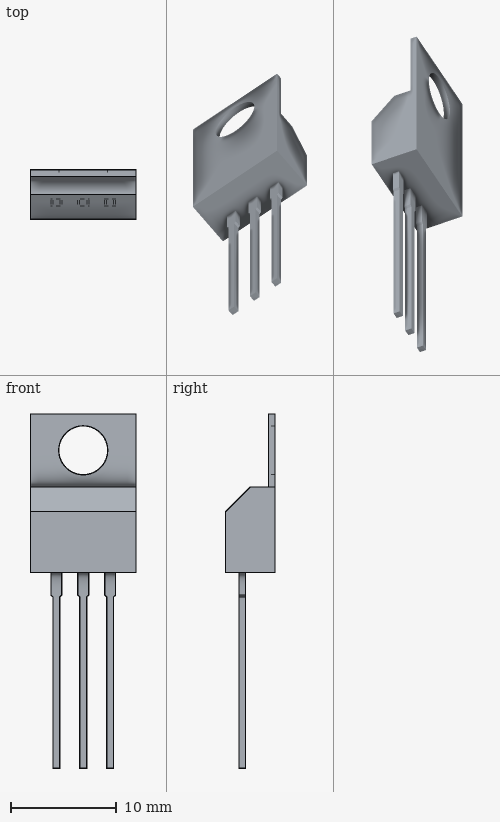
import cadquery as cq


width = 10.0
housing_depth = 4.7
housing_height = 8.1
bevel = housing_depth / 2

tab_thickness = 0.64
tab_height = 6.9
hole_diameter = 4.6
hole_center_below_top = 3.45

overall_height = 33.5
lead_length = overall_height - housing_height - tab_height
lead_pitch = 2.54
lead_width = 0.68
lead_thickness = 0.64
lead_axis_behind_front = 1.6
shoulder_width = 1.04
shoulder_length = 2.12
shoulder_taper = (shoulder_width - lead_width) / 2


def make_housing():
    """Block with its upper front edge bevelled."""
    block = cq.Workplane("XY").box(width, housing_depth, housing_height, centered=(True, False, False))
    block = block.translate((0, -housing_depth, 0))
    return block.faces("<Y").edges(">Z").chamfer(bevel)


def make_tab():
    """Flat plate standing on the back of the housing, with a mounting hole through it."""
    hole_height = housing_height + tab_height - hole_center_below_top
    plate = cq.Workplane("XY").box(width, tab_thickness, tab_height, centered=(True, False, False))
    plate = plate.translate((0, -tab_thickness, housing_height))
    hole = (
        cq.Workplane("XZ")
        .center(0, hole_height)
        .circle(hole_diameter / 2)
        .extrude(tab_thickness)
    )
    return plate.cut(hole)


def make_lead(x):
    """Flat lead hanging under the housing, with a wide shoulder that tapers to the narrow leg."""
    half_shoulder = shoulder_width / 2
    half_leg = lead_width / 2
    taper_end = shoulder_length + shoulder_taper
    half_thickness = lead_thickness / 2
    outline = (
        cq.Workplane("XZ")
        .moveTo(-half_shoulder, 0)
        .lineTo(-half_shoulder, -shoulder_length)
        .lineTo(-half_leg, -taper_end)
        .lineTo(-half_leg, -lead_length)
        .lineTo(half_leg, -lead_length)
        .lineTo(half_leg, -taper_end)
        .lineTo(half_shoulder, -shoulder_length)
        .lineTo(half_shoulder, 0)
        .close()
    )
    lead_axis_y = lead_axis_behind_front - housing_depth
    return outline.extrude(half_thickness, both=True).translate((x, lead_axis_y, 0))


housing = make_housing()
tab = make_tab()
leads = [make_lead(place * lead_pitch) for place in (-1, 0, 1)]

result = cq.Compound.makeCompound([housing.val(), tab.val(), *[lead.val() for lead in leads]])